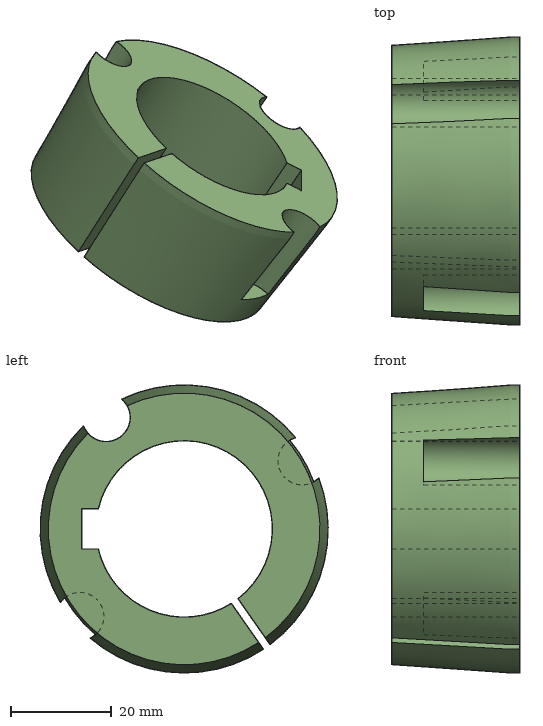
import cadquery as cq
import math


length = 25.4
rim_diameter = 57.15
rim_width = 1.8
taper_half_angle = 4.0
rim_radius = rim_diameter / 2
taper_length = length - rim_width
small_radius = rim_radius - taper_length * math.tan(math.radians(taper_half_angle))

bore_diameter = 34.925
keyway_width = 7.94
keyway_floor = 20.3

groove_diameter = 9.525
groove_circle_radius = 26.99
blind_groove_length = 19.05

through_groove_angle = 125.0
blind_groove_spacing = 95.0
slit_angle = through_groove_angle + 180.0
slit_width = 1.5875

cut_margin = 1.0


def make_body():
    """Tapered ring blank with a straight rim at the large end."""
    profile = (
        cq.Workplane("XY")
        .polyline([(0, 0), (0, small_radius), (taper_length, rim_radius), (length, rim_radius), (length, 0)])
        .close()
    )
    return profile.revolve(360, (0, 0, 0), (1, 0, 0))


def make_bore():
    return cq.Workplane("YZ").circle(bore_diameter / 2).extrude(length)


def make_keyway():
    """Square-cornered keyway on the +Y side of the bore, full length."""
    return cq.Workplane("XY").box(length, keyway_floor, keyway_width, centered=(False, False, True))


def make_groove(angle, groove_length):
    """Round cutter parallel to the axis, reaching in from the large end."""
    y = -groove_circle_radius * math.cos(math.radians(angle))
    z = groove_circle_radius * math.sin(math.radians(angle))
    return (
        cq.Workplane("YZ", origin=(length - groove_length, 0, 0))
        .center(y, z)
        .circle(groove_diameter / 2)
        .extrude(groove_length)
    )


def make_slit():
    """Radial saw cut through one wall of the ring."""
    blade = cq.Workplane("XY").box(length, rim_radius + cut_margin, slit_width, centered=(False, False, True))
    return blade.rotate((0, 0, 0), (1, 0, 0), 180.0 - slit_angle)


result = make_body().cut(make_bore()).cut(make_keyway()).cut(make_slit())
result = result.cut(make_groove(through_groove_angle, length))
for side in (-1, 1):
    blind_angle = through_groove_angle + side * blind_groove_spacing
    result = result.cut(make_groove(blind_angle, blind_groove_length))